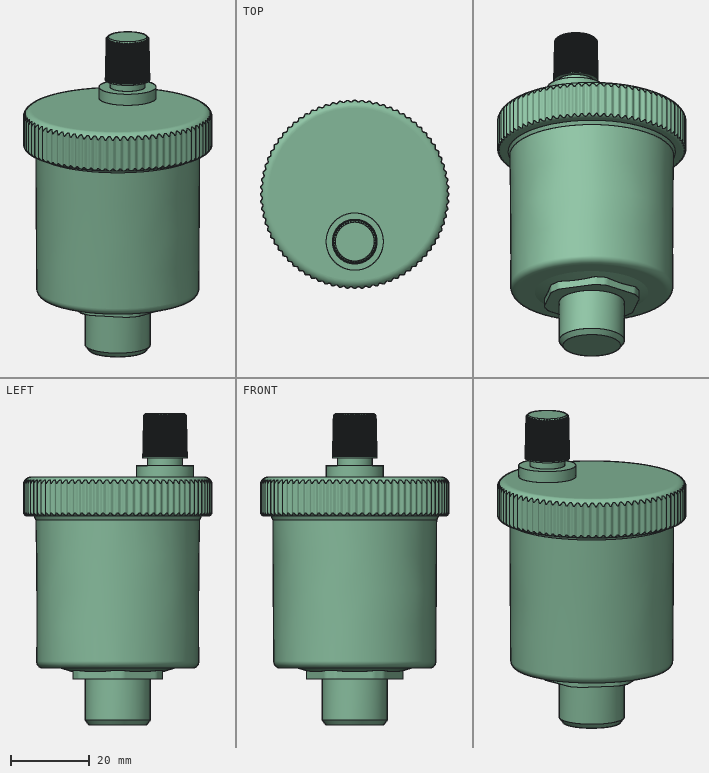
import cadquery as cq
import math

hex_bottom_z = 11.7
hex_top_z = 13.9
body_bottom_z = 14.45
body_top_z = 52.05
cap_bottom_z = 53.05
cap_top_z = 63.0
boss_top_z = 65.9
knob_bottom_z = 67.8
total_height = 79.1

pipe_radius = 8.3
pipe_chamfer_radial = 1.0
pipe_chamfer_height = 1.3

hex_sides = 6
hex_across_flats = 22.8
hex_across_corners = 24.6
hex_corner_fillet = 2.2

body_bottom_radius = 20.6
body_top_radius = 20.82
body_fillet = 1.7
base_cone_top_radius = 14.4
base_cone_bottom_radius = hex_across_flats / 2
base_cone_depth = 0.9
collar_radius = 21.25

cap_radius = 23.95
cap_root_radius = 23.48
cap_top_fillet = 2.1
cap_bottom_fillet = 1.2
cap_teeth = 80
cap_rounding = 0.11

vent_y = -12.0
boss_radius = 7.27
neck_radius = 4.45
knob_bottom_radius = 5.67
knob_top_radius = 5.43
knob_edge_chamfer = 0.5
knob_rim_height = 0.35
knob_teeth = 48
knob_tooth_depth = 0.25
knob_rounding = 0.03

crest_share = 0.31
root_share = 0.31

blank_allowance = 0.05
ring_overlap = 1.0


def polar(radius, angle):
    """Point at the given radius and angle (radians)."""
    return (radius * math.cos(angle), radius * math.sin(angle))


def serrated_outline(plane, teeth, crest, root, rounding):
    """Closed ring of teeth: rounded crest, straight flank, rounded root, straight flank."""
    pitch = 2 * math.pi / teeth
    half_crest = crest_share * pitch / 2
    half_root = root_share * pitch / 2
    shoulder = crest - rounding
    foot = root + rounding
    outline = plane.moveTo(*polar(shoulder, -half_crest))
    for tooth in range(teeth):
        middle = tooth * pitch
        valley = middle + pitch / 2
        outline = outline.threePointArc(polar(crest, middle), polar(shoulder, middle + half_crest))
        outline = outline.lineTo(*polar(foot, valley - half_root))
        outline = outline.threePointArc(polar(root, valley), polar(foot, valley + half_root))
        if tooth < teeth - 1:
            outline = outline.lineTo(*polar(shoulder, middle + pitch - half_crest))
    return outline.close()


def cylinder(radius, bottom, top, y=0.0):
    return cq.Workplane("XY", origin=(0, y, bottom)).circle(radius).extrude(top - bottom)


def turned(profile, y=0.0):
    """Solid of revolution about a vertical axis from (radius, height) points."""
    return cq.Workplane("XZ", origin=(0, y, 0)).polyline(profile).close().revolve(360, (0, 0, 0), (0, 1, 0))


def make_connection():
    return turned([
        (0, 0),
        (pipe_radius - pipe_chamfer_radial, 0),
        (pipe_radius, pipe_chamfer_height),
        (pipe_radius, body_bottom_z),
        (0, body_bottom_z),
    ])


def hexagon(across_flats):
    """Hexagonal plate with two of its flats square to the X axis."""
    plane = cq.Workplane("XY", origin=(0, 0, hex_bottom_z))
    return plane.polygon(hex_sides, across_flats, circumscribed=True).extrude(hex_top_z - hex_bottom_z)


def make_hexagon():
    """Hexagon with corners on the X axis, trimmed by a second hexagon turned by 30 degrees."""
    trim = hexagon(hex_across_corners)
    half_step = 180 / hex_sides
    flats = hexagon(hex_across_flats).rotate((0, 0, 0), (0, 0, 1), half_step)
    return flats.intersect(trim).edges("|Z").fillet(hex_corner_fillet)


def make_body():
    """Slightly tapered shell with a rounded lower edge, a flared collar and a shallow cone below."""
    shell = turned([
        (0, body_bottom_z),
        (body_bottom_radius, body_bottom_z),
        (body_top_radius, body_top_z),
        (collar_radius, cap_bottom_z),
        (0, cap_bottom_z),
    ])
    shell = shell.faces("<Z").edges().fillet(body_fillet)
    base_cone_bottom_z = body_bottom_z - base_cone_depth
    base_cone = turned([
        (0, body_bottom_z),
        (base_cone_top_radius, body_bottom_z),
        (base_cone_bottom_radius, base_cone_bottom_z),
        (0, base_cone_bottom_z),
    ])
    return shell.union(base_cone)


def make_cap():
    """Rounded disc whose rim is cut to teeth by an internally serrated ring."""
    blank = cylinder(cap_radius + blank_allowance, cap_bottom_z, cap_top_z)
    blank = blank.faces(">Z").edges().fillet(cap_top_fillet)
    blank = blank.faces("<Z").edges().fillet(cap_bottom_fillet)
    ring_bottom_z = cap_bottom_z - ring_overlap
    ring_top_z = cap_top_z + ring_overlap
    plane = cq.Workplane("XY", origin=(0, 0, ring_bottom_z))
    outline = serrated_outline(plane, cap_teeth, cap_radius, cap_root_radius, cap_rounding)
    ring = cylinder(cap_radius + ring_overlap, ring_bottom_z, ring_top_z)
    ring = ring.cut(outline.extrude(ring_top_z - ring_bottom_z))
    return blank.cut(ring, clean=False)


def make_knob():
    """Tapered knurled knob standing on a plain rim, chamfered at its upper edge."""
    knurl_bottom_z = knob_bottom_z + knob_rim_height
    knurl_height = total_height - knurl_bottom_z
    plane = cq.Workplane("XY", origin=(0, vent_y, knurl_bottom_z))
    lower = serrated_outline(
        plane, knob_teeth, knob_bottom_radius, knob_bottom_radius - knob_tooth_depth, knob_rounding
    )
    upper = serrated_outline(
        lower.workplane(offset=knurl_height),
        knob_teeth,
        knob_top_radius,
        knob_top_radius - knob_tooth_depth,
        knob_rounding,
    )
    knurl = upper.loft(ruled=True)
    blank_radius = knob_bottom_radius + blank_allowance
    blank = turned(
        [
            (0, knob_bottom_z),
            (blank_radius, knob_bottom_z),
            (blank_radius, total_height - knob_edge_chamfer),
            (knob_top_radius, total_height - knob_edge_chamfer),
            (knob_top_radius - knob_edge_chamfer, total_height),
            (0, total_height),
        ],
        vent_y,
    )
    rim = cylinder(knob_bottom_radius, knob_bottom_z, knurl_bottom_z, vent_y)
    return knurl.intersect(blank).union(rim)


def make_vent():
    boss = cylinder(boss_radius, cap_top_z, boss_top_z, vent_y)
    neck = cylinder(neck_radius, boss_top_z, knob_bottom_z, vent_y)
    return boss.union(neck).union(make_knob())


result = (
    make_connection()
    .union(make_hexagon())
    .union(make_body())
    .union(make_vent())
    .union(make_cap(), clean=False)
)